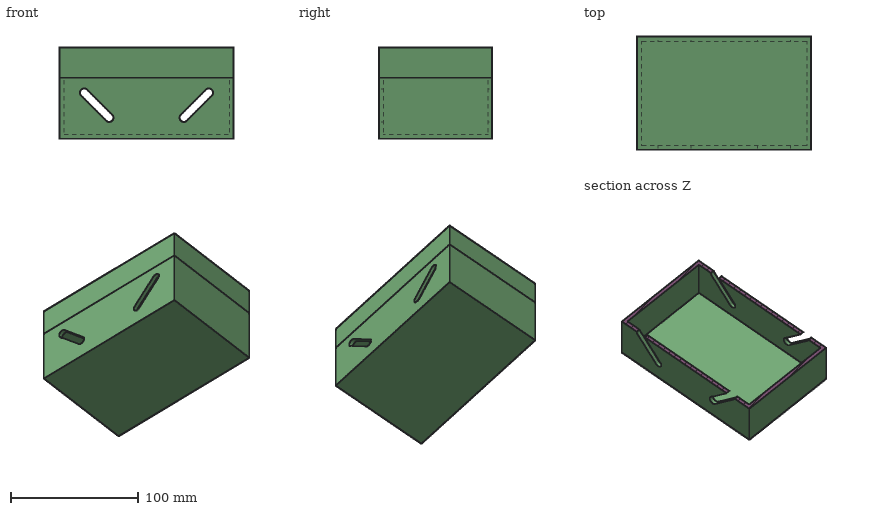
import cadquery as cq

LENGTH = 137.2
WIDTH = 89.2
HEIGHT = 71.9
LID_HEIGHT = 24.0
BASE_HEIGHT = HEIGHT - LID_HEIGHT
WALL = 3.5

SLOT_WIDTH = 6.6
SLOT_RUN = 19.6
SLOT_OUTER_INSET = 19.6
SLOT_CENTRE_HEIGHT = 26.5
SLOT_LENGTH = SLOT_RUN * 2**0.5 + SLOT_WIDTH
SLOT_CENTRE_X = LENGTH / 2 - SLOT_OUTER_INSET - SLOT_RUN / 2
SLOT_ANGLE = 45


def make_slot_cutter(side):
    """Slot through the full width; side is -1 for left and 1 for right."""
    return (
        cq.Workplane("XZ")
        .center(side * SLOT_CENTRE_X, SLOT_CENTRE_HEIGHT)
        .slot2D(SLOT_LENGTH, SLOT_WIDTH, side * SLOT_ANGLE)
        .extrude(WIDTH / 2, both=True)
    )


def make_base():
    """Open-topped tray with mirrored slots in its long walls."""
    base = cq.Workplane("XY").box(LENGTH, WIDTH, BASE_HEIGHT, centered=(True, True, False))
    base = base.faces(">Z").shell(-WALL)
    for side in (-1, 1):
        base = base.cut(make_slot_cutter(side))
    return base


def make_lid():
    """Plain block that closes the base."""
    return (
        cq.Workplane("XY")
        .workplane(offset=BASE_HEIGHT)
        .box(LENGTH, WIDTH, LID_HEIGHT, centered=(True, True, False))
    )


base = make_base()
lid = make_lid()
result = cq.Compound.makeCompound([base.val(), lid.val()])